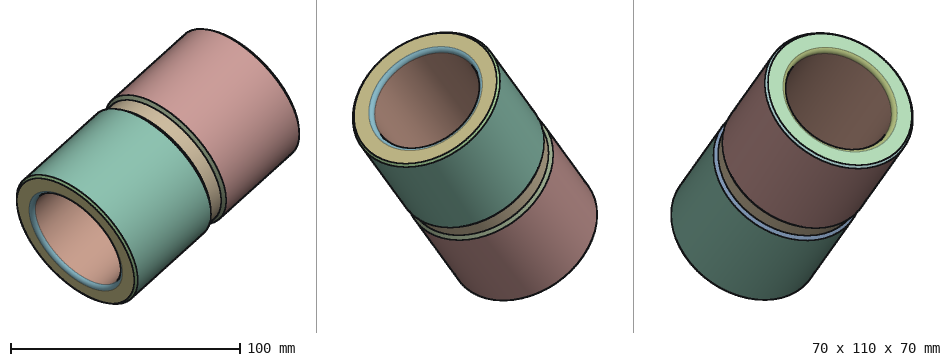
import cadquery as cq

length = 110.0
outer_diameter = 70.0
bore_diameter = 49.9

outer_chamfer = 1.1
bore_fillet = 2.0

groove_floor_width = 7.0
groove_depth = 1.5

outer_radius = outer_diameter / 2
half_length = length / 2


def make_sleeve():
    """Plain tube with chamfered outer rims and rounded bore mouths."""
    body = (
        cq.Workplane("XZ")
        .circle(outer_radius)
        .extrude(half_length, both=True)
        .edges()
        .chamfer(outer_chamfer)
    )
    bored = body.faces("<Y").workplane(origin=(0, -half_length, 0)).hole(bore_diameter)
    bore_rims = bored.edges(cq.selectors.RadiusNthSelector(0))
    return bore_rims.fillet(bore_fillet)


def make_groove_ring():
    """Ring of material to remove for the groove, revolved about Y."""
    half_floor = groove_floor_width / 2
    half_opening = half_floor + groove_depth
    floor_radius = outer_radius - groove_depth
    clear_radius = outer_radius + groove_depth
    return (
        cq.Workplane("XY")
        .polyline([
            (floor_radius, -half_floor),
            (outer_radius, -half_opening),
            (clear_radius, -half_opening),
            (clear_radius, half_opening),
            (outer_radius, half_opening),
            (floor_radius, half_floor),
        ])
        .close()
        .revolve(360, (0, 0, 0), (0, 1, 0))
    )


result = make_sleeve().cut(make_groove_ring())